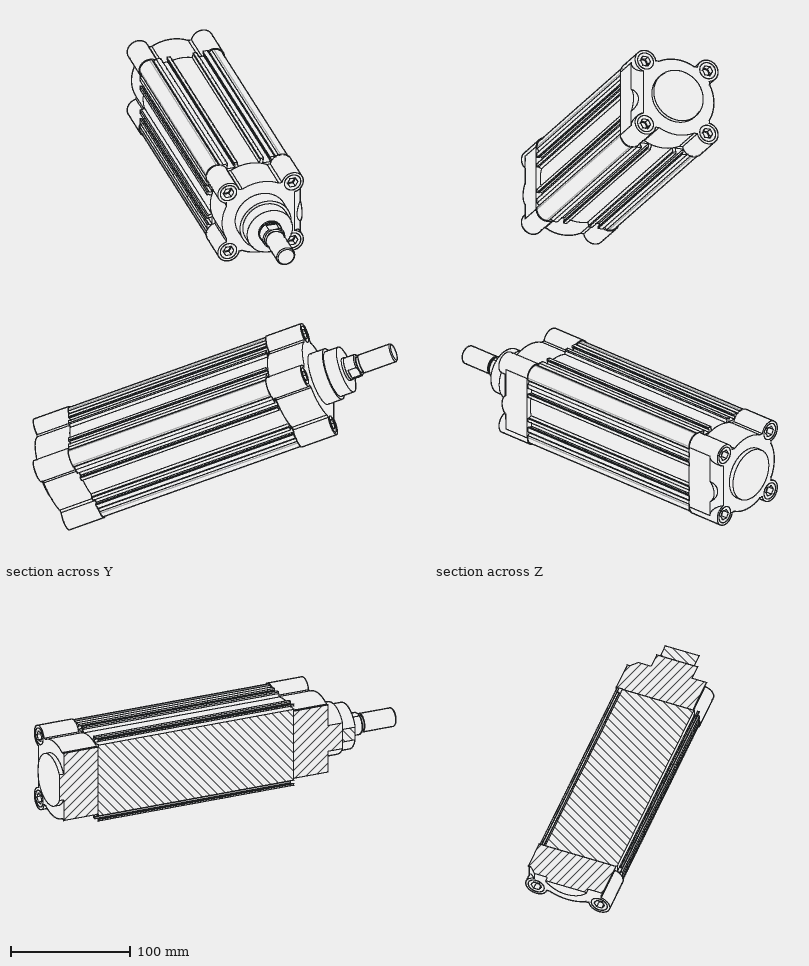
import cadquery as cq
import math


body_length = 246.0
cap_length = 32.0
tube_length = body_length - 2 * cap_length
rear_spigot_length = 4.0
front_spigot_length = 13.3

bolt_pitch = 56.5
bolt_offset = bolt_pitch / 2
corner_radius = 9.5
cap_body_radius = 34.0
cap_core_half = 30.0
spigot_diameter = 45.0

seat_diameter = 14.4
seat_depth = 0.2
socket_across_flats = 8.0
socket_depth = 6.0
socket_tip_radius = 3.2
socket_tip_depth = 2.0

port_face_y = 37.78
port_slope_angle = 43.0
port_boss_radius = 12.5
port_boss_x = cap_length / 2
port_boss_z = -5.5

barrel_half = 36.9
barrel_corner_radius = barrel_half - bolt_offset
trough_half_width = 10.1
trough_floor_half_width = 9.1
trough_wall_bottom = 35.5
trough_floor_radius = 34.0
slot_center = 15.85
slot_opening = 5.6
slot_undercut = 0.7
slot_lip = 1.7
slot_floor = 32.3
groove_center = 24.5
groove_half_width = 1.9
groove_depth = 1.9

collar_diameter = 40.0
collar_length = 11.7
rod_diameter = 20.0
rod_end = 69.0
thread_length = 32.0
shoulder = rod_end - thread_length
rod_step = 26.9
rod_neck_diameter = 19.2
rod_chamfer = 1.0
undercut_diameter = 13.5
undercut_length = 2.4
thread_diameter = 16.0
flat_start = 28.7
flat_across = 17.0


def along_x(x):
    """Sketch plane at x whose local axes are Y and Z and whose normal is +X."""
    return cq.Workplane("YZ", origin=(x, 0, 0))


def bolt_seats():
    """Cutters for the four bolt seats: shallow round recess, hexagon socket and conical tip."""
    bolts = along_x(0).rect(bolt_pitch, bolt_pitch, forConstruction=True).vertices()
    recess = bolts.circle(seat_diameter / 2).extrude(seat_depth)
    across_corners = socket_across_flats / math.cos(math.pi / 6)
    sockets = bolts.polygon(6, across_corners).extrude(socket_depth)
    cutters = recess.union(sockets)
    tip = cq.Solid.makeCone(
        socket_tip_radius, 0, socket_tip_depth, pnt=cq.Vector(socket_depth, 0, 0), dir=cq.Vector(1, 0, 0)
    )
    for y in (-bolt_offset, bolt_offset):
        for z in (-bolt_offset, bolt_offset):
            cutters = cutters.union(cq.Workplane(tip.translate(cq.Vector(0, y, z))))
    return cutters


def port_pad():
    """Pad on the +Y side that slopes up from the outer cap face, with the round port boss on the slope."""
    rise = port_face_y - cap_core_half
    slope_end = rise / math.tan(math.radians(port_slope_angle))
    pad = (
        cq.Workplane("XY", origin=(0, 0, -bolt_offset))
        .moveTo(0, 0)
        .lineTo(0, cap_core_half)
        .lineTo(slope_end, port_face_y)
        .lineTo(cap_length, port_face_y)
        .lineTo(cap_length, 0)
        .close()
        .extrude(bolt_pitch)
    )
    boss = (
        cq.Workplane("XZ", origin=(port_boss_x, 0, port_boss_z))
        .circle(port_boss_radius)
        .extrude(-port_face_y)
    )
    return pad.union(boss)


def end_cap(spigot_length):
    """Cap with its outer face at x = 0, its body toward +X and its spigot toward -X."""
    core_side = 2 * cap_core_half
    cap = along_x(0).circle(cap_body_radius).extrude(cap_length)
    beyond_core = cq.Workplane().box(cap_length, core_side, core_side, centered=(False, True, True))
    beyond_core = beyond_core.translate((0, core_side, 0))
    cap = cap.cut(beyond_core)
    cap = cap.union(along_x(0).rect(core_side, core_side).extrude(cap_length))
    corners = along_x(0).rect(bolt_pitch, bolt_pitch, forConstruction=True).vertices()
    cap = cap.union(corners.circle(corner_radius).extrude(cap_length))
    cap = cap.union(port_pad())
    cap = cap.union(along_x(0).circle(spigot_diameter / 2).extrude(-spigot_length))
    return cap.cut(bolt_seats())


def trough():
    """Cutter between the two inner ribs of one side, sloped where the ribs meet the round wall."""
    floor_edge = math.sqrt(trough_floor_radius**2 - trough_floor_half_width**2)
    return (
        along_x(cap_length)
        .moveTo(-trough_half_width, barrel_half)
        .lineTo(-trough_half_width, trough_wall_bottom)
        .lineTo(-trough_floor_half_width, floor_edge)
        .threePointArc((0, trough_floor_radius), (trough_floor_half_width, floor_edge))
        .lineTo(trough_half_width, trough_wall_bottom)
        .lineTo(trough_half_width, barrel_half)
        .close()
        .extrude(tube_length)
    )


def t_slot(y):
    """Cutter for a T-slot in the +Z side, centred at y."""
    depth = barrel_half - slot_floor
    mouth = along_x(cap_length).center(y, barrel_half - depth / 2).rect(slot_opening, depth)
    channel_height = depth - slot_lip
    channel = along_x(cap_length).center(y, slot_floor + channel_height / 2)
    channel = channel.rect(slot_opening + 2 * slot_undercut, channel_height)
    return mouth.extrude(tube_length).union(channel.extrude(tube_length))


def v_groove(y):
    """Cutter for a V-groove in the +Z side, centred at y."""
    return (
        along_x(cap_length)
        .moveTo(y - groove_half_width, barrel_half)
        .lineTo(y, barrel_half - groove_depth)
        .lineTo(y + groove_half_width, barrel_half)
        .close()
        .extrude(tube_length)
    )


def make_barrel():
    """Extruded profile with the same trough, slots and grooves on all four sides."""
    barrel = along_x(cap_length).rect(2 * barrel_half, 2 * barrel_half).extrude(tube_length)
    barrel = barrel.edges("|X").fillet(barrel_corner_radius)
    cutters = [trough()]
    for side in (-1, 1):
        cutters.append(t_slot(side * slot_center))
        cutters.append(v_groove(side * groove_center))
    for quarter in range(4):
        for cutter in cutters:
            barrel = barrel.cut(cutter.rotate((0, 0, 0), (1, 0, 0), 90 * quarter))
    return barrel


def make_piston_rod():
    """Turned rod end with a collar on the front spigot, wrench flats and a threaded stud."""
    neck_radius = rod_neck_diameter / 2
    thread_radius = thread_diameter / 2
    collar_end = front_spigot_length + collar_length
    thread_start = shoulder + undercut_length
    rod = (
        cq.Workplane("XY", origin=(body_length, 0, 0))
        .moveTo(front_spigot_length, 0)
        .lineTo(front_spigot_length, collar_diameter / 2)
        .lineTo(collar_end, collar_diameter / 2)
        .lineTo(collar_end, rod_diameter / 2)
        .lineTo(rod_step, rod_diameter / 2)
        .lineTo(rod_step, neck_radius)
        .lineTo(shoulder - rod_chamfer, neck_radius)
        .lineTo(shoulder, neck_radius - rod_chamfer)
        .lineTo(shoulder, undercut_diameter / 2)
        .lineTo(thread_start, undercut_diameter / 2)
        .lineTo(thread_start, thread_radius)
        .lineTo(rod_end - rod_chamfer, thread_radius)
        .lineTo(rod_end, thread_radius - rod_chamfer)
        .lineTo(rod_end, 0)
        .close()
        .revolve(360, (0, 0, 0), (1, 0, 0))
    )
    flat_length = shoulder - flat_start
    flat_center_x = body_length + flat_start + flat_length / 2
    for side in (-1, 1):
        flat_cutter = cq.Workplane().box(flat_length, rod_diameter, rod_diameter)
        flat_center_z = side * (flat_across + rod_diameter) / 2
        rod = rod.cut(flat_cutter.translate((flat_center_x, 0, flat_center_z)))
    return rod


rear_cap = end_cap(rear_spigot_length)
barrel = make_barrel()
front_cap = end_cap(front_spigot_length).mirror("YZ").translate((body_length, 0, 0))
piston_rod = make_piston_rod()

result = cq.Compound.makeCompound(
    [rear_cap.val(), barrel.val(), front_cap.val(), piston_rod.val()]
)